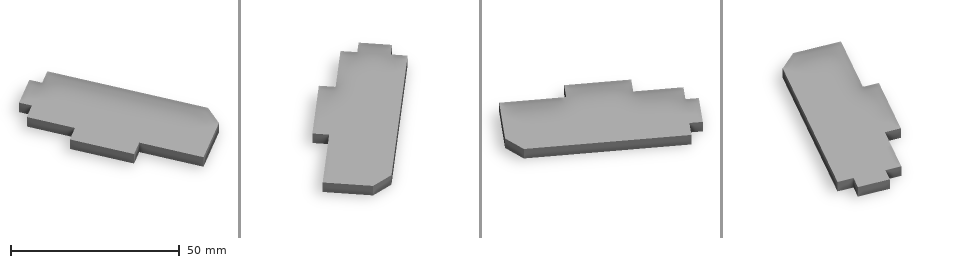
import cadquery as cq

body_length = 55.0
body_width = 20.0
thickness = 4.0
corner_chamfer = 5.0

end_tab_projection = 4.0
end_tab_width = 10.0

side_tab_projection = 5.0
side_tab_length = 20.0
side_tab_offset = 15.0


def make_body():
    """Plate with its lower-left corner at the origin and the +X +Y corner cut off."""
    plate = cq.Workplane("XY").box(body_length, body_width, thickness, centered=False)
    return plate.edges("|Z and >X and >Y").chamfer(corner_chamfer)


def make_end_tab():
    """Tab projecting from the -X edge."""
    tab_start_y = (body_width - end_tab_width) / 2
    tab = cq.Workplane("XY").box(end_tab_projection, end_tab_width, thickness, centered=False)
    return tab.translate((-end_tab_projection, tab_start_y, 0))


def make_side_tab():
    """Tab projecting from the -Y edge."""
    tab = cq.Workplane("XY").box(side_tab_length, side_tab_projection, thickness, centered=False)
    return tab.translate((side_tab_offset, -side_tab_projection, 0))


result = make_body().union(make_end_tab()).union(make_side_tab()).clean()